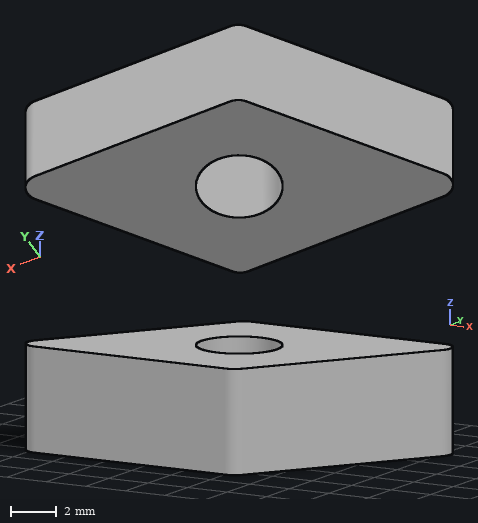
import cadquery as cq
import math

length = 16.83
width = 9.53
thickness = 4.76
acute_angle = math.radians(55)
hole_diameter = 3.8

side = width / math.sin(acute_angle)
lean = side * math.cos(acute_angle)
sharp_length = side + lean

tip_loss_per_radius = 1 / math.tan(acute_angle / 2) - 1
corner_radius = (sharp_length - length) / (2 * tip_loss_per_radius)

corners = [
    (-sharp_length / 2, -width / 2),
    (-sharp_length / 2 + side, -width / 2),
    (sharp_length / 2, width / 2),
    (sharp_length / 2 - side, width / 2),
]

body = cq.Workplane("XY").polyline(corners).close().extrude(thickness)
body = body.edges("|Z").fillet(corner_radius)

result = body.faces(">Z").workplane(origin=(0, 0, thickness)).hole(hole_diameter)